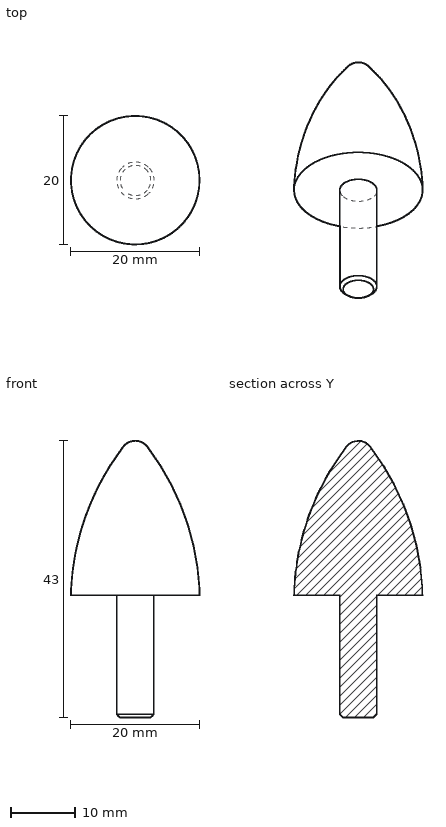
import cadquery as cq

total_height = 43.0
shank_length = 19.0
shank_radius = 2.9
shank_chamfer = 0.5

head_radius = 9.998
band_height = 1.0
flank_mid_radius = 7.6
flank_mid_z = 31.6
tip_radius = 2.0
tip_height = 1.1

band_top_z = shank_length + band_height
tip_base_z = total_height - tip_height

dome_sphere_radius = (tip_radius**2 + tip_height**2) / (2 * tip_height)
dome_mid_radius = tip_radius / 2
dome_center_z = total_height - dome_sphere_radius
dome_mid_z = dome_center_z + (dome_sphere_radius**2 - dome_mid_radius**2) ** 0.5

profile = (
    cq.Workplane("XZ")
    .lineTo(shank_radius - shank_chamfer, 0)
    .lineTo(shank_radius, shank_chamfer)
    .lineTo(shank_radius, shank_length)
    .lineTo(head_radius, shank_length)
    .lineTo(head_radius, band_top_z)
    .threePointArc((flank_mid_radius, flank_mid_z), (tip_radius, tip_base_z))
    .threePointArc((dome_mid_radius, dome_mid_z), (0, total_height))
    .close()
)

result = profile.revolve(360, (0, 0, 0), (0, 1, 0))